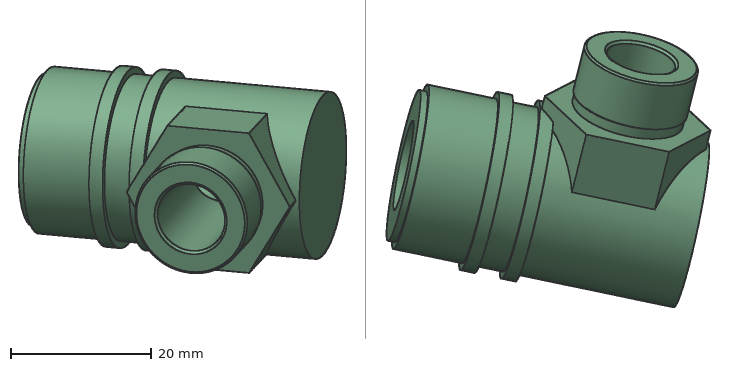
import cadquery as cq
import math

barrel_diameter = 24.0
barrel_start = 1.0
barrel_end = 42.0
ring_diameter = 26.0
ring_width = 2.0
ring_starts = (11.05, 17.0)

sleeve_diameter = 22.0
sleeve_bore = 13.0
sleeve_end = ring_starts[0] + ring_width

outlet_x = 29.35
hex_across_flats = 21.0
hex_face = 15.05
neck_diameter = 16.2
neck_length = 1.65
spigot_diameter = 16.67
spigot_end = 24.0
spigot_chamfer = 0.3

passage_diameter = 10.0
passage_chamfer = 0.38


def x_cylinder(diameter, start, end):
    """Cylinder on the barrel axis between two X positions."""
    return cq.Workplane("YZ", origin=(start, 0, 0)).circle(diameter / 2).extrude(end - start)


def outlet_plane(distance):
    """Plane facing -Y on the outlet axis, at a distance from the barrel axis."""
    return cq.Workplane("XZ", origin=(outlet_x, -distance, 0))


def make_barrel():
    """Plain barrel with its raised rings."""
    barrel = x_cylinder(barrel_diameter, barrel_start, barrel_end)
    for start in ring_starts:
        barrel = barrel.union(x_cylinder(ring_diameter, start, start + ring_width))
    return barrel


def make_outlet():
    """Hexagon, relief neck and chamfered spigot, running out along -Y."""
    hex_across_corners = hex_across_flats / math.cos(math.pi / 6)
    neck_end = hex_face + neck_length
    hexagon = outlet_plane(0).polygon(6, hex_across_corners).extrude(hex_face)
    neck = outlet_plane(hex_face).circle(neck_diameter / 2).extrude(neck_length)
    spigot = (
        outlet_plane(neck_end)
        .circle(spigot_diameter / 2)
        .extrude(spigot_end - neck_end)
        .faces("<Y")
        .chamfer(spigot_chamfer)
    )
    return hexagon.union(neck).union(spigot)


def make_passage():
    """Mitred elbow bore from the sleeve seat to the outlet, flared at the tip."""
    path = (
        cq.Workplane("XY")
        .moveTo(sleeve_end, 0)
        .lineTo(outlet_x, 0)
        .lineTo(outlet_x, -spigot_end)
    )
    bore = (
        cq.Workplane("YZ", origin=(sleeve_end, 0, 0))
        .circle(passage_diameter / 2)
        .sweep(path, transition="right")
    )
    mouth_radius = passage_diameter / 2 + passage_chamfer
    flare = cq.Solid.makeCone(
        mouth_radius,
        passage_diameter / 2,
        passage_chamfer,
        pnt=cq.Vector(outlet_x, -spigot_end, 0),
        dir=cq.Vector(0, 1, 0),
    )
    return bore.union(cq.Workplane(flare))


def make_housing():
    """Elbow housing with a recess that takes the sleeve."""
    sleeve_seat = x_cylinder(sleeve_diameter, barrel_start, sleeve_end)
    return make_barrel().union(make_outlet()).cut(sleeve_seat).cut(make_passage())


def make_sleeve():
    """Straight sleeve seated in the housing recess."""
    return x_cylinder(sleeve_diameter, 0, sleeve_end).cut(x_cylinder(sleeve_bore, 0, sleeve_end))


housing = make_housing()
sleeve = make_sleeve()

result = cq.Compound.makeCompound([housing.solids().val(), sleeve.solids().val()])